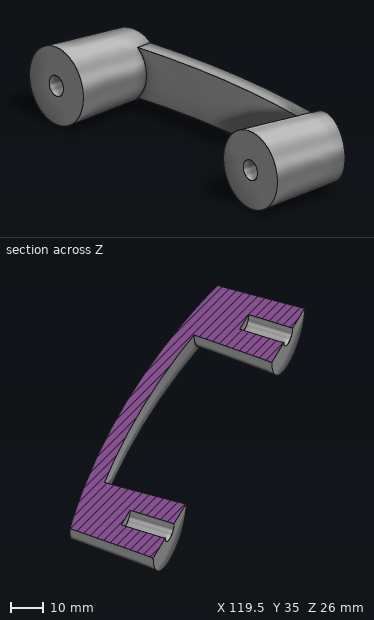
import cadquery as cq
import math

length = 119.5
depth = 35.0

post_diameter = 26.0
post_taper = 3.0
post_x = (length - post_diameter) / 2
post_direction = cq.Vector(0, 1, 0)

outer_radius = 290.3
bar_thickness = 5.7
bar_height = 17.0

hole_diameter = 6.8
hole_depth = 14.9

inner_radius = outer_radius - bar_thickness
arc_center_y = depth - outer_radius


def arc_cylinder(radius, height):
    """Cylinder along Z about the common bow axis, centred on Z = 0."""
    return cq.Workplane("XY").center(0, arc_center_y).circle(radius).extrude(height / 2, both=True)


def post(x):
    """Cone from the foot towards +Y, cut off by the outer face of the bow."""
    top_radius = post_diameter / 2 - depth * math.tan(math.radians(post_taper))
    cone = cq.Solid.makeCone(post_diameter / 2, top_radius, depth, cq.Vector(x, 0, 0), post_direction)
    return cq.Workplane(obj=cone).intersect(arc_cylinder(outer_radius, post_diameter))


def mounting_hole(x):
    """Straight drill volume from the foot of a post."""
    drill = cq.Solid.makeCylinder(hole_diameter / 2, hole_depth, cq.Vector(x, 0, 0), post_direction)
    return cq.Workplane(obj=drill)


def grip_bar():
    """Constant-thickness bow whose ends lie inside the posts."""
    ring = arc_cylinder(outer_radius, bar_height).cut(arc_cylinder(inner_radius, bar_height))
    span = cq.Workplane("XY").box(2 * post_x, 2 * depth, bar_height)
    return ring.intersect(span)


result = grip_bar()
for side in (-1, 1):
    result = result.union(post(side * post_x))
for side in (-1, 1):
    result = result.cut(mounting_hole(side * post_x))